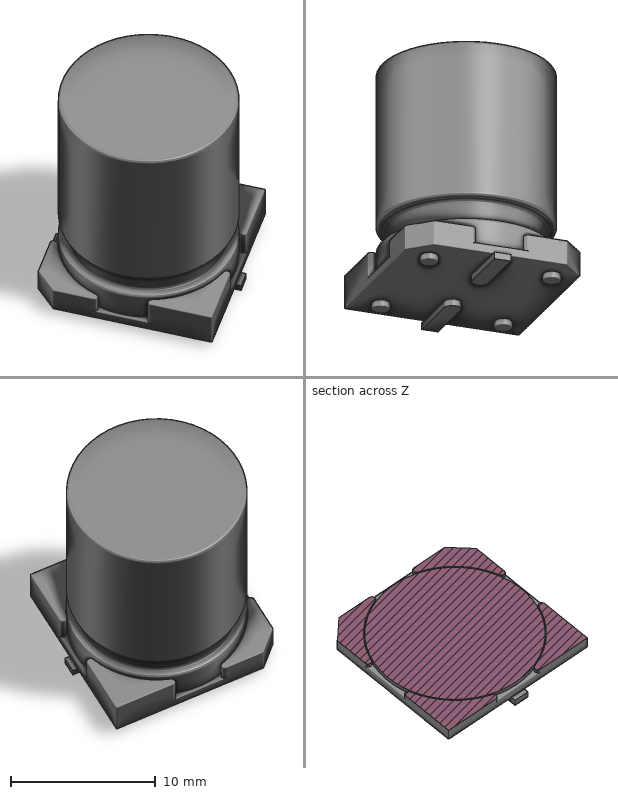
import cadquery as cq
import math

base_width = 13.0
base_bottom = 0.5
notch_floor = 1.15
low_pad_top = 2.35
high_pad_top = 2.99
corner_cut = 1.55
edge_round = 0.08
tip_offset = 2.08
clearance_radius = 6.3

can_radius = 12.5 / 2
groove_radius = 11.25 / 2
can_top = 16.5
can_round = 0.25
bead_top = 3.23
groove_ceiling = 4.87

foot_diameter = 1.25
foot_offset = 4.55
foot_round = 0.05

lead_span = 13.7
lead_width = 1.2
lead_inner_end = 2.03

half_width = base_width / 2


def make_block(bottom, top):
    """Base outline between two heights, with its two -X corners cut off."""
    block = cq.Workplane("XY").workplane(offset=bottom).rect(base_width, base_width).extrude(top - bottom)
    block = block.edges("|Z and <X").chamfer(corner_cut)
    return block.edges("|Z").fillet(edge_round)


def make_pad(x_side, y_side, top):
    """Raised corner pad, hollowed to clear the can, with full-round tips beside the notches."""
    bottom = base_bottom + edge_round
    tip_radius = half_width**2 + tip_offset**2 - clearance_radius**2
    tip_radius /= 2 * (half_width + clearance_radius)
    tip_depth = half_width - tip_radius
    contact_scale = clearance_radius / (clearance_radius + tip_radius)
    contact_near = tip_offset * contact_scale
    contact_far = tip_depth * contact_scale
    diagonal = clearance_radius * math.sqrt(0.5)

    def place(x, y):
        return x_side * x, y_side * y

    corner = (
        cq.Workplane("XY")
        .workplane(offset=bottom)
        .moveTo(*place(half_width, half_width))
        .lineTo(*place(tip_offset, half_width))
        .threePointArc(place(tip_offset - tip_radius, tip_depth), place(contact_near, contact_far))
        .threePointArc(place(diagonal, diagonal), place(contact_far, contact_near))
        .threePointArc(place(tip_depth, tip_offset - tip_radius), place(half_width, tip_offset))
        .close()
        .extrude(top - bottom)
    )
    pad = make_block(bottom, top).intersect(corner)
    return pad.faces(">Z").edges().fillet(edge_round)


def make_base():
    """Plate at notch-floor height plus four corner pads, the +X pair taller."""
    base = make_block(base_bottom, notch_floor).faces("<Z or >Z").edges().fillet(edge_round)
    for x_side, top in ((-1, low_pad_top), (1, high_pad_top)):
        for y_side in (-1, 1):
            base = base.union(make_pad(x_side, y_side, top))
    return base


def make_can():
    """Can with a rounded rim and a crimp groove rolled in above the base."""
    r = can_round
    diagonal = r * math.sqrt(0.5)
    bead_shoulder = bead_top - r
    body_bottom = groove_ceiling + r
    profile = (
        cq.Workplane("XZ")
        .moveTo(0, base_bottom + edge_round)
        .lineTo(can_radius, base_bottom + edge_round)
        .lineTo(can_radius, bead_shoulder)
        .threePointArc((can_radius - r + diagonal, bead_shoulder + diagonal), (can_radius - r, bead_top))
        .lineTo(groove_radius + r, bead_top)
        .threePointArc((groove_radius + r - diagonal, bead_top + r - diagonal), (groove_radius, bead_top + r))
        .lineTo(groove_radius, groove_ceiling - r)
        .threePointArc((groove_radius + r - diagonal, groove_ceiling - r + diagonal),
                       (groove_radius + r, groove_ceiling))
        .lineTo(can_radius - r, groove_ceiling)
        .threePointArc((can_radius - r + diagonal, body_bottom - diagonal), (can_radius, body_bottom))
        .lineTo(can_radius, can_top - r)
        .threePointArc((can_radius - r + diagonal, can_top - r + diagonal), (can_radius - r, can_top))
        .lineTo(0, can_top)
        .close()
    )
    return profile.revolve(360, (0, 0, 0), (0, 1, 0))


def make_feet():
    """Four short round standoffs with softened ends."""
    feet = cq.Workplane("XY").rect(2 * foot_offset, 2 * foot_offset, forConstruction=True).vertices()
    feet = feet.circle(foot_diameter / 2).extrude(base_bottom)
    return feet.edges("%CIRCLE").fillet(foot_round)


def make_lead(x_side):
    """Flat lead along X, square outside the base and rounded at its inner end."""
    half_lead = lead_width / 2
    outer_x = x_side * lead_span / 2
    arc_start_x = x_side * (lead_inner_end + half_lead)
    return (
        cq.Workplane("XY")
        .moveTo(outer_x, half_lead)
        .lineTo(arc_start_x, half_lead)
        .threePointArc((x_side * lead_inner_end, 0), (arc_start_x, -half_lead))
        .lineTo(outer_x, -half_lead)
        .close()
        .extrude(base_bottom)
    )


result = make_base().union(make_can()).union(make_feet())
for side in (-1, 1):
    result = result.union(make_lead(side))